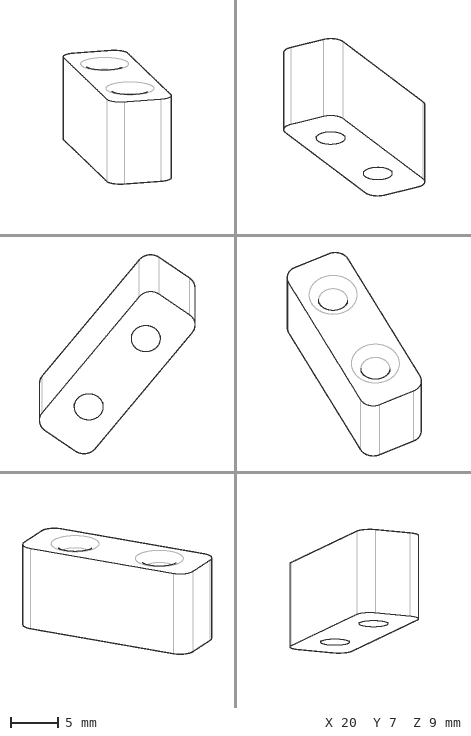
import cadquery as cq

length = 20.0
width = 7.0
height = 9.0
corner_radius = 1.5

hole_spacing = length / 2
hole_diameter = 3.05
mouth_radius = 1.0


def make_block():
    """Rectangular block with rounded vertical edges, standing on Z = 0."""
    block = cq.Workplane("XY").box(length, width, height, centered=(True, True, False))
    return block.edges("|Z").fillet(corner_radius)


def drill_holes(block):
    """Drill the two holes through the block and round their top rims."""
    drilled = (
        block.faces(">Z")
        .workplane(origin=(0, 0, height))
        .rarray(hole_spacing, 0.2, 2, 1)
        .hole(hole_diameter)
    )
    inner_x = length / 2 - corner_radius
    inner_y = width / 2 - corner_radius
    rim_zone = cq.selectors.BoxSelector(
        (-inner_x, -inner_y, height - mouth_radius),
        (inner_x, inner_y, height + mouth_radius),
    )
    top_rims = drilled.faces(">Z").edges("%CIRCLE").edges(rim_zone)
    return top_rims.fillet(mouth_radius)


result = drill_holes(make_block())